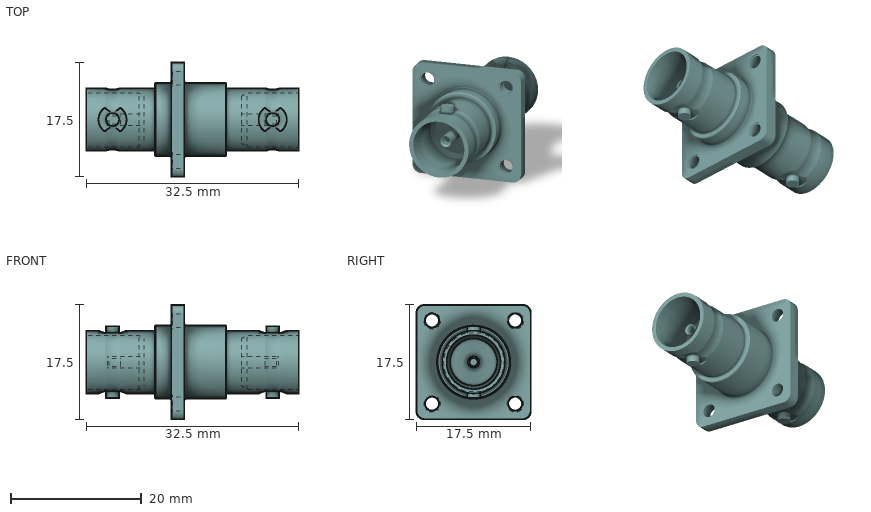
import cadquery as cq
import math

overall_length = 32.5
plate_start = 13.0
plate_thickness = 2.0
collar_start = 10.5
collar_end = 21.4

plate_side = 17.5
plate_corner_radius = 1.3
hole_spacing = 12.7
hole_diameter = 2.1
counterbore_diameter = 2.5
counterbore_depth = 0.15

barrel_radius = 4.8
collar_radius = 5.6
collar_chamfer = 0.12
collar_root_fillet = 0.25

pin_offset = 4.02
pin_radius = 1.0
pin_reach = 5.5
pad_radius = 2.15
pad_height = 4.45
groove_width = 2.36
groove_depth = 0.2

bore_radius = 4.13
bore_depth = 8.0
seat_radius = 3.6
seat_cone_length = 0.8
contact_radius = 0.87
contact_tip_depth = 3.2
socket_radius = 0.62
socket_depth = 2.0
socket_chamfer = contact_radius - socket_radius

plate_end = plate_start + plate_thickness
axis_start = (0, 0, 0)
axis_end = (1, 0, 0)
full_turn = 360
end_pin_positions = (pin_offset, overall_length - pin_offset)


def rod(start, end, radius):
    """Solid cylinder on the connector axis between two X positions."""
    return cq.Workplane("YZ", origin=(start, 0, 0)).circle(radius).extrude(end - start)


def make_plate():
    """Square flange with rounded corners and four counterbored holes."""
    plate = (
        cq.Workplane("YZ", origin=(plate_start, 0, 0))
        .rect(plate_side, plate_side)
        .extrude(plate_thickness)
        .edges("|X")
        .fillet(plate_corner_radius)
    )
    return (
        plate.faces("<X")
        .workplane(centerOption="CenterOfBoundBox")
        .rect(hole_spacing, hole_spacing, forConstruction=True)
        .vertices()
        .cboreHole(hole_diameter, counterbore_diameter, counterbore_depth)
    )


def make_collar_profile():
    """Half section of the collar, chamfered at its ends and filleted into the plate."""
    root_radius = collar_radius + collar_root_fillet
    rim_radius = collar_radius - collar_chamfer
    sag = collar_root_fillet * (1 - math.cos(math.radians(45)))
    return (
        cq.Workplane("XY")
        .moveTo(collar_start, 0)
        .lineTo(collar_start, rim_radius)
        .lineTo(collar_start + collar_chamfer, collar_radius)
        .lineTo(plate_start - collar_root_fillet, collar_radius)
        .threePointArc((plate_start - sag, collar_radius + sag), (plate_start, root_radius))
        .lineTo(plate_end, root_radius)
        .threePointArc(
            (plate_end + sag, collar_radius + sag),
            (plate_end + collar_root_fillet, collar_radius),
        )
        .lineTo(collar_end - collar_chamfer, collar_radius)
        .lineTo(collar_end, rim_radius)
        .lineTo(collar_end, 0)
        .close()
    )


def spin(profile):
    """Revolve a half section about the connector axis."""
    return profile.revolve(full_turn, axis_start, axis_end)


def cut_groove(body, center):
    """Cut the shallow arc-section groove around the barrel."""
    half_width = groove_width / 2
    groove = (
        cq.Workplane("XY")
        .moveTo(center - half_width, barrel_radius)
        .threePointArc(
            (center, barrel_radius - groove_depth),
            (center + half_width, barrel_radius),
        )
        .lineTo(center + half_width, collar_radius)
        .lineTo(center - half_width, collar_radius)
        .close()
    )
    return body.cut(spin(groove))


def cut_pads(body, center):
    """Spot-face the barrel flat, top and bottom, where the bayonet pins stand."""
    for side in (1, -1):
        pad = (
            cq.Workplane("XY", origin=(center, 0, side * pad_height))
            .circle(pad_radius)
            .extrude(side * (barrel_radius - pad_height))
        )
        body = body.cut(pad)
    return body


def add_pins(body, center):
    """Stand a bayonet pin on each pad, rooted inside the barrel wall."""
    root_height = (bore_radius + pad_height) / 2
    for side in (1, -1):
        pin = (
            cq.Workplane("XY", origin=(center, 0, side * root_height))
            .circle(pin_radius)
            .extrude(side * (pin_reach - root_height))
        )
        body = body.union(pin)
    return body


def make_mouth():
    """Void inside the left mouth: bore, conical seat and socketed center contact."""
    bore_floor = bore_depth + seat_cone_length
    cavity = spin(
        cq.Workplane("XY")
        .moveTo(0, 0)
        .lineTo(0, bore_radius)
        .lineTo(bore_depth, bore_radius)
        .lineTo(bore_floor, seat_radius)
        .lineTo(bore_floor, 0)
        .close()
    )
    socket_end = contact_tip_depth + socket_depth
    socket = spin(
        cq.Workplane("XY")
        .moveTo(contact_tip_depth, 0)
        .lineTo(contact_tip_depth, contact_radius)
        .lineTo(contact_tip_depth + socket_chamfer, socket_radius)
        .lineTo(socket_end, socket_radius)
        .lineTo(socket_end, 0)
        .close()
    )
    contact = rod(contact_tip_depth, bore_floor, contact_radius)
    return cavity.cut(contact.cut(socket))


body = rod(0, overall_length, barrel_radius).union(spin(make_collar_profile()))
for position in end_pin_positions:
    body = cut_groove(body, position)
    body = cut_pads(body, position)
    body = add_pins(body, position)

mid_point = (overall_length / 2, 0, 0)
left_mouth = make_mouth()
right_mouth = left_mouth.mirror("YZ", mid_point)

result = body.union(make_plate()).cut(left_mouth).cut(right_mouth)